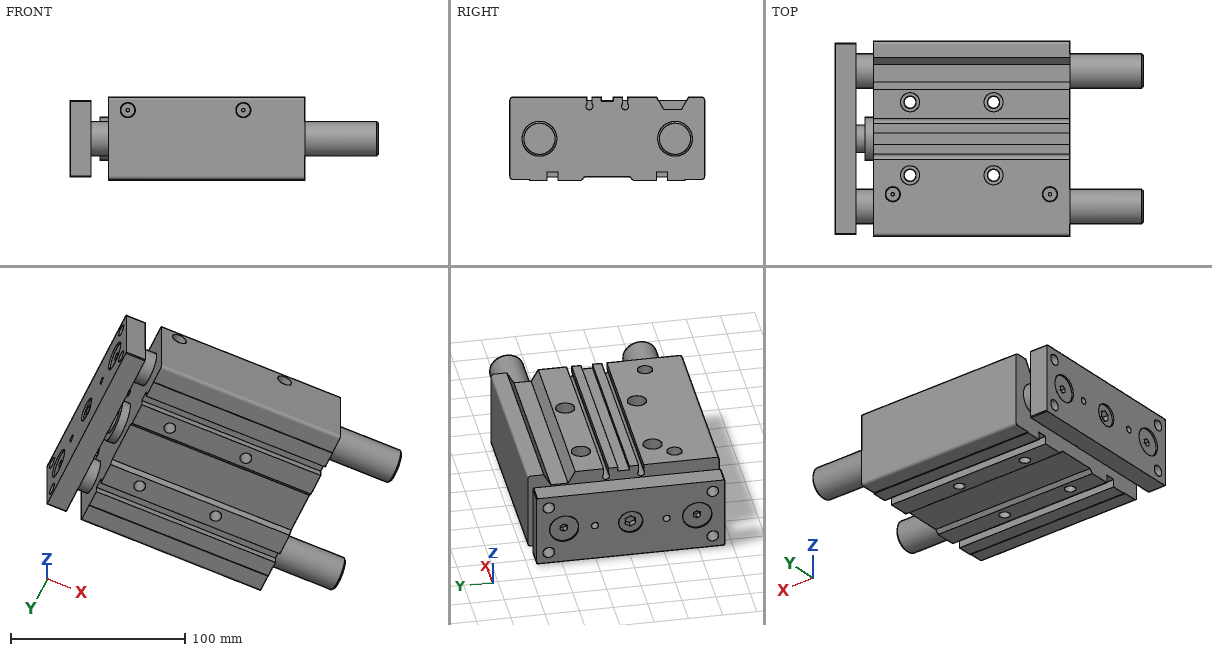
import cadquery as cq
import math

total_length = 177.0

plate_thickness = 12.0
plate_width = 110.1
plate_height = 44.0
plate_chamfer = 0.5

guide_rod_diameter = 20.0
guide_rod_spacing = 77.9
guide_rod_chamfer = 1.0
piston_rod_diameter = 16.0
piston_rod_insertion = 17.7

corner_hole_diameter = 6.7
corner_hole_spacing_y = 96.0
corner_hole_spacing_z = 30.1
pin_hole_diameter = 4.0
rod_recess_diameter = 17.0
rod_socket_flats = 4.0
piston_recess_diameter = 14.0
piston_socket_flats = 6.0
recess_depth = 1.0
rod_socket_depth = 5.0
piston_socket_depth = 5.0

housing_start = 22.0
housing_length = 113.0
housing_width = 112.0
housing_height = 48.0
housing_fillet = 2.0
collar_diameter = 25.0
collar_length = 5.0

wide_groove_centre = 37.5
wide_groove_top_width = 18.4
wide_groove_floor_width = 10.1
wide_groove_depth = 7.3

sensor_groove_offset = 10.3
sensor_neck_width = 3.0
sensor_groove_diameter = 4.0
sensor_groove_axis_depth = 5.3
centre_slot_width = 6.7
centre_slot_depth = 2.5

edge_relief_start = 44.6
edge_relief_depth = 0.5
bottom_slot_offset = 31.5
bottom_slot_width = 6.2
bottom_slot_depth = 5.0
bottom_recess_mouth_width = 30.0
bottom_recess_floor_width = 25.3

mount_first_offset = 21.0
mount_spacing_x = 48.0
mount_spacing_y = 42.0
mount_lower_diameter = 6.7
mount_clearance_diameter = 7.0
mount_lower_length = 16.0
mount_counterbore_diameter = 11.0
mount_counterbore_depth = 8.0

port_mouth_diameter = 8.7
port_floor_diameter = 8.0
port_depth = 8.0
port_passage_diameter = 2.0
port_passage_depth = 2.0
port_front_offset = 11.2
top_port_rear_offset = 101.5
top_port_y = -31.9
side_port_rear_offset = 77.5
side_port_z = 16.5

housing_end = housing_start + housing_length
top_z = housing_height / 2
bottom_z = -top_z
side_y = housing_width / 2
rod_sides = (-guide_rod_spacing / 2, guide_rod_spacing / 2)


def x_cylinder(diameter, start, end, y=0.0, z=0.0):
    """Round bar along X between two X positions."""
    return cq.Workplane("YZ", origin=(start, y, z)).circle(diameter / 2).extrude(end - start)


def housing_prism(points):
    """Closed (Y, Z) outline swept over the whole length of the housing."""
    return cq.Workplane("YZ", origin=(housing_start, 0, 0)).polyline(points).close().extrude(housing_length)


def housing_groove(y, mouth_width, floor_width, mouth_z, floor_z):
    """Straight-sided or tapered groove along the housing."""
    mouth = mouth_width / 2
    floor = floor_width / 2
    return housing_prism([(y - mouth, mouth_z), (y + mouth, mouth_z), (y + floor, floor_z), (y - floor, floor_z)])


def cut_edge_reliefs(body):
    relief_width = side_y - edge_relief_start
    relief_centre = side_y - relief_width / 2
    for y in (-relief_centre, relief_centre):
        body = body.cut(housing_groove(y, relief_width, relief_width, bottom_z, bottom_z + edge_relief_depth))
    return body


def cut_top_grooves(body):
    body = body.cut(housing_groove(
        wide_groove_centre, wide_groove_top_width, wide_groove_floor_width, top_z, top_z - wide_groove_depth))
    body = body.cut(housing_groove(0, centre_slot_width, centre_slot_width, top_z, top_z - centre_slot_depth))
    axis_z = top_z - sensor_groove_axis_depth
    for y in (-sensor_groove_offset, sensor_groove_offset):
        body = body.cut(housing_groove(y, sensor_neck_width, sensor_neck_width, top_z, axis_z))
        body = body.cut(x_cylinder(sensor_groove_diameter, housing_start, housing_end, y, axis_z))
    return body


def cut_bottom_grooves(body):
    for y in (-bottom_slot_offset, bottom_slot_offset):
        body = body.cut(housing_groove(
            y, bottom_slot_width, bottom_slot_width, bottom_z, bottom_z + bottom_slot_depth))
    recess_height = (bottom_recess_mouth_width - bottom_recess_floor_width) / 2
    return body.cut(housing_groove(
        0, bottom_recess_mouth_width, bottom_recess_floor_width, bottom_z, bottom_z + recess_height))


def cut_mounting_holes(body):
    first_x = housing_start + mount_first_offset
    places = [
        (x, y)
        for x in (first_x, first_x + mount_spacing_x)
        for y in (-mount_spacing_y / 2, mount_spacing_y / 2)
    ]
    top_plane = cq.Workplane("XY", origin=(0, 0, top_z)).pushPoints(places)
    holes = top_plane.circle(mount_lower_diameter / 2).extrude(-housing_height)
    counterbores = top_plane.circle(mount_counterbore_diameter / 2).extrude(-mount_counterbore_depth)
    clearances = top_plane.circle(mount_clearance_diameter / 2).extrude(mount_lower_length - housing_height)
    return body.cut(holes).cut(clearances).cut(counterbores)


def cut_port(body, mouth, inward):
    """Blind tapered port with a small air passage at the centre of its floor."""
    start = cq.Vector(*mouth)
    direction = cq.Vector(*inward)
    port = cq.Solid.makeCone(
        port_mouth_diameter / 2, port_floor_diameter / 2, port_depth, start, direction)
    passage = cq.Solid.makeCylinder(
        port_passage_diameter / 2, port_depth + port_passage_depth, start, direction)
    return body.cut(cq.Workplane(port)).cut(cq.Workplane(passage))


def make_housing():
    body = cq.Workplane("XY").box(housing_length, housing_width, housing_height)
    body = body.translate((housing_start + housing_length / 2, 0, 0))
    body = cut_edge_reliefs(body)
    body = body.edges("|X").edges("<Y or >Y").fillet(housing_fillet)
    body = cut_top_grooves(body)
    body = cut_bottom_grooves(body)
    body = cut_mounting_holes(body)
    for offset in (port_front_offset, top_port_rear_offset):
        body = cut_port(body, (housing_start + offset, top_port_y, top_z), (0, 0, -1))
    for offset in (port_front_offset, side_port_rear_offset):
        body = cut_port(body, (housing_start + offset, -side_y, side_port_z), (0, 1, 0))
    body = body.union(x_cylinder(collar_diameter, housing_start - collar_length, housing_start))
    for y in rod_sides:
        body = body.cut(x_cylinder(guide_rod_diameter, housing_start, housing_end, y))
    bore_start = housing_start - collar_length
    return body.cut(x_cylinder(piston_rod_diameter, bore_start, housing_start + piston_rod_insertion))


def hex_socket(across_flats, depth, y):
    """Hexagonal key socket from the plate face, with corners pointing up and down."""
    across_corners = across_flats / math.cos(math.radians(30))
    face = cq.Workplane("YZ", origin=(0, y, 0)).transformed(rotate=(0, 0, 90))
    return face.polygon(6, across_corners).extrude(depth)


def make_slide():
    slide = cq.Workplane("XY").box(plate_thickness, plate_width, plate_height)
    slide = slide.translate((plate_thickness / 2, 0, 0)).edges("|X").chamfer(plate_chamfer)

    for y in rod_sides:
        rod = x_cylinder(guide_rod_diameter, plate_thickness, total_length, y)
        slide = slide.union(rod.faces(">X").chamfer(guide_rod_chamfer))
        slide = slide.cut(x_cylinder(rod_recess_diameter, 0, recess_depth, y))
        slide = slide.cut(hex_socket(rod_socket_flats, rod_socket_depth, y))

    slide = slide.union(x_cylinder(piston_rod_diameter, plate_thickness, housing_start + piston_rod_insertion))
    slide = slide.cut(x_cylinder(piston_recess_diameter, 0, recess_depth))
    slide = slide.cut(hex_socket(piston_socket_flats, piston_socket_depth, 0))

    for y in (-corner_hole_spacing_y / 2, corner_hole_spacing_y / 2):
        for z in (-corner_hole_spacing_z / 2, corner_hole_spacing_z / 2):
            slide = slide.cut(x_cylinder(corner_hole_diameter, 0, plate_thickness, y, z))
    for y in (-mount_spacing_y / 2, mount_spacing_y / 2):
        slide = slide.cut(x_cylinder(pin_hole_diameter, 0, plate_thickness, y))
    return slide


housing = make_housing()
slide = make_slide()

result = cq.Compound.makeCompound([housing.val(), slide.val()])